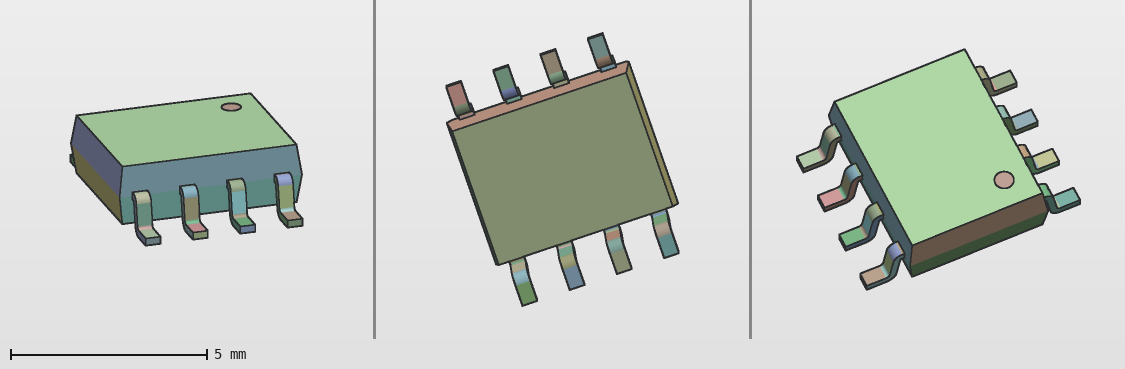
import cadquery as cq
import math


body_width = 3.89
body_length = 4.91
body_top = 1.76
body_bottom = 0.175
draft_angle = 8.0
parting_height = 0.96

mark_diameter = 0.5
mark_depth = 0.005
mark_x = -1.11
mark_y = 1.58

lead_span = 6.0
lead_width = 0.4
lead_thickness = 0.2
lead_pitch = 1.27
leads_per_side = 4
lead_slope = 80.0
lead_embed = 0.06
foot_length = 0.55
foot_bend_radius = 0.095
shoulder_bend_radius = 0.055


def make_body_half(height):
    """Tapered half that grows from the parting plane by a signed height."""
    return (
        cq.Workplane("XY", origin=(0, 0, parting_height))
        .rect(body_width, body_length)
        .extrude(height, taper=draft_angle)
    )


def make_lead():
    """Lead on the -X side, centred on Y = 0: foot, bend, sloping leg, bend, shoulder."""
    slope = math.radians(lead_slope)
    shoulder_top = parting_height + lead_thickness / 2
    shoulder_bottom = shoulder_top - lead_thickness
    toe_x = -lead_span / 2
    foot_end_x = toe_x + foot_length
    root_x = -body_width / 2 + lead_embed

    foot_inner = foot_bend_radius
    foot_outer = foot_bend_radius + lead_thickness
    shoulder_inner = shoulder_bend_radius
    shoulder_outer = shoulder_bend_radius + lead_thickness
    foot_centre_z = foot_outer
    shoulder_centre_z = shoulder_bottom - shoulder_inner

    rise = shoulder_centre_z - foot_centre_z
    centre_offset = foot_inner + shoulder_outer
    shoulder_centre_x = foot_end_x + (centre_offset + rise * math.cos(slope)) / math.sin(slope)

    def on_foot_bend(radius, angle):
        return (foot_end_x + radius * math.sin(angle), foot_centre_z - radius * math.cos(angle))

    def on_shoulder_bend(radius, angle):
        return (
            shoulder_centre_x - radius * math.sin(angle),
            shoulder_centre_z + radius * math.cos(angle),
        )

    return (
        cq.Workplane("XZ")
        .moveTo(toe_x, 0)
        .lineTo(foot_end_x, 0)
        .threePointArc(on_foot_bend(foot_outer, slope / 2), on_foot_bend(foot_outer, slope))
        .lineTo(*on_shoulder_bend(shoulder_inner, slope))
        .threePointArc(on_shoulder_bend(shoulder_inner, slope / 2), on_shoulder_bend(shoulder_inner, 0))
        .lineTo(root_x, shoulder_bottom)
        .lineTo(root_x, shoulder_top)
        .lineTo(shoulder_centre_x, shoulder_top)
        .threePointArc(on_shoulder_bend(shoulder_outer, slope / 2), on_shoulder_bend(shoulder_outer, slope))
        .lineTo(*on_foot_bend(foot_inner, slope))
        .threePointArc(on_foot_bend(foot_inner, slope / 2), on_foot_bend(foot_inner, 0))
        .lineTo(toe_x, lead_thickness)
        .close()
        .extrude(lead_width / 2, both=True)
    )


def make_pin_one_mark():
    """Cutter for the recessed pin-one mark."""
    return (
        cq.Workplane("XY", origin=(mark_x, mark_y, body_top))
        .circle(mark_diameter / 2)
        .extrude(-mark_depth)
    )


upper_half = make_body_half(body_top - parting_height)
lower_half = make_body_half(body_bottom - parting_height)
result = upper_half.union(lower_half).cut(make_pin_one_mark())

left_lead = make_lead()
right_lead = left_lead.mirror("YZ")
for index in range(leads_per_side):
    lead_y = (index - (leads_per_side - 1) / 2) * lead_pitch
    for lead in (left_lead, right_lead):
        result = result.union(lead.translate((0, lead_y, 0)))